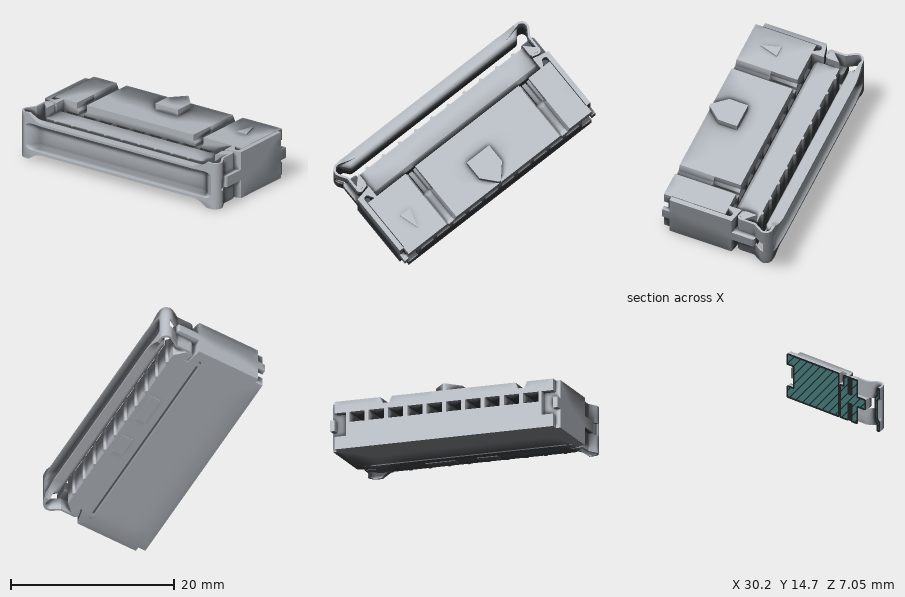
import cadquery as cq
import math


HEIGHT = 6.08
BACK_Y = 14.65
PLATE_FRONT_Y = 6.53
PLATE_HALF_WIDTH = 14.35
ARM_HALF_WIDTH = 14.95
CAVITY_BOTTOM = 1.6
CAVITY_TOP = 4.6
BODY_HALF_WIDTH = 12.88
SLIT_WIDTH = 0.1

TAB_BOTTOM = 2.35
TAB_TOP = 3.75
TAB_FRONT_Y = 2.4
TAB_CORNER_RADIUS = 0.3
NOTCH_Y = 13.65

PIN_COUNT = 10
PITCH = 2.55
RIB_THICKNESS = 0.55
TROUGH_BOTTOM = 3.33
BAR_FRONT_Y = 2.87
BAR_BACK_Y = 6.15
BAR_HEIGHT = 4.75
BAR_CHAMFER = 0.45
RIDGE_BASE = 0.6
RIDGE_TIP = 0.2
RIDGE_DEPTH = 0.25

GROOVE_CENTRES = (-10.15, 7.62)
GROOVE_WIDTH = 1.5
GROOVE_FLOOR_WIDTH = 0.82
GROOVE_DEPTH = 0.8
SLOT_WALL_DEPTH = 0.85
SLOT_SLOPE_DEPTH = 0.3
SLOT_BOTTOM_WIDTH = 0.88
GROOVE_STEP_Y = 10.05
GROOVE_RAMP = 0.5

FOOT_OUTER_Y = 5.38
FOOT_INNER_Y = 4.93
RELIEF_WIDTH = 0.8
RELIEF_CORNER_RADIUS = 0.35
RELIEF_FRONT_Y = 5.68
RELIEF_OPENING_WIDTH = 0.42
RELIEF_OPENING_Y = 6.0

KEY_WIDTH = 3.5
KEY_TIP_WIDTH = 0.25
KEY_FRONT_Y = 10.28
KEY_SHOULDER_Y = 12.82
KEY_TOP = 6.95
MARK_WIDTH = 1.55
MARK_TIP_Y = 12.8
MARK_HEIGHT = 0.18
PAD_SPANS = ((-3.3, -0.63), (2.3, 6.2))
PAD_FRONT_Y = 3.55
PAD_BACK_Y = 4.95
PAD_HEIGHT = 0.1

SHEET = 0.27
STRAP_BOTTOM = 0.05
LEG_X = 14.35
HOOK_Y = 4.95
HOOK_BEND_RADIUS = 0.5
HOOK_TIP_X = 13.0
HOOK_DROP = 0.25
LOOP_RADIUS = 0.95
LOOP_HALF_WIDTH = 15.1
LOOP_Y = 1.15
NECK_ANGLE = 148
WINDOW_BOTTOM = 2.3
WINDOW_TOP = 3.85
WINDOW_FRONT_Y = 1.12
FRONT_FLAT_HALF = 11.28
CHANNEL_HALF_HEIGHT = 2.05
CHANNEL_BACK_Y = 1.65
CHANNEL_BACK_HALF = 13.0
CHANNEL_BEND_RADIUS = 0.57
FLANGE = 0.3
CHANNEL_CORNER_RADIUS = 0.6
POCKET_WALL_X = 13.35
FLARE_TOP_X = 13.6
FLARE_BASE_X = 12.25
FLARE_RADIUS = 2.72

STRAP_MID_Z = (STRAP_BOTTOM + HEIGHT) / 2
LOOP_X = LOOP_HALF_WIDTH - LOOP_RADIUS
LOOP_FRONT_Y = LOOP_Y - LOOP_RADIUS
PIN_XS = [(i - (PIN_COUNT - 1) / 2) * PITCH for i in range(PIN_COUNT)]


def block(x0, x1, y0, y1, z0, z1):
    return cq.Workplane("XY").box(x1 - x0, y1 - y0, z1 - z0, centered=False).translate((x0, y0, z0))


def prism(points, z0, z1):
    return cq.Workplane("XY").workplane(offset=z0).polyline(points).close().extrude(z1 - z0)


def along_y(points, y0, y1):
    """Extrude an XZ outline from y0 to y1."""
    return cq.Workplane("XZ", origin=(0, y0, 0)).polyline(points).close().extrude(y0 - y1)


def both_sides(left):
    return left.union(left.mirror("YZ"))


def make_shell():
    """Rectangular body with one straight trough per contact and a slot in each back corner."""
    shell = block(-PLATE_HALF_WIDTH, PLATE_HALF_WIDTH, PLATE_FRONT_Y, BACK_Y, 0, HEIGHT)
    half = (PITCH - RIB_THICKNESS) / 2
    for x in PIN_XS:
        shell = shell.cut(block(x - half, x + half, PLATE_FRONT_Y, BACK_Y, TROUGH_BOTTOM, CAVITY_TOP))
    slot = block(-PLATE_HALF_WIDTH, -BODY_HALF_WIDTH, NOTCH_Y, BACK_Y, CAVITY_BOTTOM, CAVITY_TOP)
    return shell.cut(both_sides(slot))


def make_groove(x):
    """Shallow tapered groove at the back, opening into a deeper straight-sided slot at the front."""
    half = GROOVE_WIDTH / 2
    floor_half = GROOVE_FLOOR_WIDTH / 2
    floor_z = HEIGHT - GROOVE_DEPTH
    shallow = along_y(
        [(x - half, HEIGHT), (x - floor_half, floor_z), (x + floor_half, floor_z), (x + half, HEIGHT)],
        GROOVE_STEP_Y, BACK_Y,
    )
    slot_half = SLOT_BOTTOM_WIDTH / 2
    wall_z = HEIGHT - SLOT_WALL_DEPTH
    slope_z = wall_z - SLOT_SLOPE_DEPTH
    deep = along_y(
        [
            (x - half, HEIGHT), (x - half, wall_z), (x - slot_half, slope_z), (x - slot_half, CAVITY_TOP),
            (x + slot_half, CAVITY_TOP), (x + slot_half, slope_z), (x + half, wall_z), (x + half, HEIGHT),
        ],
        PLATE_FRONT_Y, GROOVE_STEP_Y,
    )
    ramp = (
        cq.Workplane("YZ", origin=(x - half, 0, 0))
        .polyline([
            (GROOVE_STEP_Y, floor_z), (GROOVE_STEP_Y, CAVITY_TOP), (GROOVE_STEP_Y - GROOVE_RAMP, CAVITY_TOP)
        ])
        .close().extrude(GROOVE_WIDTH)
    )
    return shallow.union(deep.cut(ramp))


def make_arm():
    """Left arm: side wall, foot joining the bar, middle tab and the block inside the strap hook."""
    outer = -ARM_HALF_WIDTH
    inner = -BODY_HALF_WIDTH
    wall_x = -PLATE_HALF_WIDTH
    foot = prism(
        [
            (outer, FOOT_OUTER_Y), (inner, FOOT_INNER_Y), (inner, PLATE_FRONT_Y),
            (wall_x, PLATE_FRONT_Y), (wall_x, NOTCH_Y), (outer, NOTCH_Y),
        ],
        0, HEIGHT,
    )
    back_tab = block(outer, wall_x, NOTCH_Y, BACK_Y, TAB_BOTTOM, TAB_TOP)
    front_tab = (
        block(outer, inner, TAB_FRONT_Y, FOOT_OUTER_Y, TAB_BOTTOM, TAB_TOP)
        .edges("|Z and <Y").fillet(TAB_CORNER_RADIUS)
    )
    leg_inside = -LEG_X + SHEET
    hook_inside = HOOK_Y - SHEET
    hook_block = prism(
        [
            (leg_inside, hook_inside), (inner, hook_inside - HOOK_DROP), (inner, BAR_FRONT_Y),
            (leg_inside, BAR_FRONT_Y + LEG_X - SHEET - BODY_HALF_WIDTH),
        ],
        0, HEIGHT,
    )
    return foot.union(back_tab).union(front_tab).union(hook_block)


def make_relief():
    """Left relief in front of the plate: a round-ended pocket, a through opening and the side slit."""
    x0 = -PLATE_HALF_WIDTH
    x1 = x0 + RELIEF_WIDTH
    pocket = (
        block(x0, x1, RELIEF_FRONT_Y, PLATE_FRONT_Y, CAVITY_TOP, HEIGHT)
        .edges("|Z and <Y").fillet(RELIEF_CORNER_RADIUS)
    )
    opening = prism(
        [
            (x1 - SLIT_WIDTH, PLATE_FRONT_Y), (x1, RELIEF_OPENING_Y),
            (x1 - SLIT_WIDTH + RELIEF_OPENING_WIDTH, PLATE_FRONT_Y),
        ],
        0, HEIGHT,
    )
    slit = block(x0, x0 + SLIT_WIDTH, PLATE_FRONT_Y, NOTCH_Y, CAVITY_TOP, HEIGHT)
    return pocket.union(opening).union(slit)


def make_bar():
    """Cross bar between the feet, with one ridge per contact and two low pads underneath."""
    bar = (
        block(-BODY_HALF_WIDTH, BODY_HALF_WIDTH, BAR_FRONT_Y, BAR_BACK_Y, 0, BAR_HEIGHT)
        .edges(">Y and >Z").chamfer(BAR_CHAMFER)
    )
    tip_y = BAR_FRONT_Y - RIDGE_DEPTH
    for x in PIN_XS:
        ridge = prism(
            [
                (x - RIDGE_BASE / 2, BAR_FRONT_Y), (x - RIDGE_TIP / 2, tip_y),
                (x + RIDGE_TIP / 2, tip_y), (x + RIDGE_BASE / 2, BAR_FRONT_Y),
            ],
            0, BAR_HEIGHT,
        )
        bar = bar.union(ridge)
    for x0, x1 in PAD_SPANS:
        bar = bar.union(block(x0, x1, PAD_FRONT_Y, PAD_BACK_Y, -PAD_HEIGHT, 0))
    return bar


def make_key():
    """Raised house-shaped key, its slanted flanks ending at the back face."""
    half = KEY_WIDTH / 2
    tip_half = KEY_TIP_WIDTH / 2
    return prism(
        [
            (-half, KEY_FRONT_Y), (half, KEY_FRONT_Y), (half, KEY_SHOULDER_Y),
            (tip_half, BACK_Y), (-tip_half, BACK_Y), (-half, KEY_SHOULDER_Y),
        ],
        HEIGHT, KEY_TOP,
    )


def make_mark():
    """Low triangle over the last contact."""
    x = PIN_XS[-1]
    return prism(
        [(x - MARK_WIDTH / 2, KEY_FRONT_Y), (x + MARK_WIDTH / 2, KEY_FRONT_Y), (x, MARK_TIP_Y)],
        HEIGHT, HEIGHT + MARK_HEIGHT,
    )


def loop_point(radius, degrees):
    angle = math.radians(degrees)
    return (-LOOP_X + radius * math.cos(angle), LOOP_Y + radius * math.sin(angle))


def neck_top(radius, x):
    """Where the neck, leaving the loop as a tangent, reaches the given X."""
    start_x, start_y = loop_point(radius, NECK_ANGLE)
    return (x, start_y + (x - start_x) * math.tan(math.radians(NECK_ANGLE - 90)))


def make_strap_side():
    """Left end of the strap: hook, leg, neck, loop and a wedge that thickens into the channel."""
    inner_radius = LOOP_RADIUS - SHEET
    leg_inside = -LEG_X + SHEET
    inner_bend = HOOK_BEND_RADIUS - SHEET
    bend_x = -LEG_X + HOOK_BEND_RADIUS
    bend_y = HOOK_Y - HOOK_BEND_RADIUS
    diagonal = math.sqrt(0.5)
    mid_angle = (NECK_ANGLE + 270) / 2
    side = (
        cq.Workplane("XY").workplane(offset=STRAP_BOTTOM)
        .moveTo(-HOOK_TIP_X, HOOK_Y - HOOK_DROP)
        .lineTo(bend_x, HOOK_Y)
        .threePointArc(
            (bend_x - HOOK_BEND_RADIUS * diagonal, bend_y + HOOK_BEND_RADIUS * diagonal), (-LEG_X, bend_y)
        )
        .lineTo(*neck_top(LOOP_RADIUS, -LEG_X))
        .lineTo(*loop_point(LOOP_RADIUS, NECK_ANGLE))
        .threePointArc(loop_point(LOOP_RADIUS, mid_angle), loop_point(LOOP_RADIUS, 270))
        .lineTo(-FRONT_FLAT_HALF, 0)
        .lineTo(-FRONT_FLAT_HALF, CHANNEL_BACK_Y - CHANNEL_BEND_RADIUS)
        .lineTo(*loop_point(inner_radius, 270))
        .threePointArc(loop_point(inner_radius, mid_angle), loop_point(inner_radius, NECK_ANGLE))
        .lineTo(*neck_top(inner_radius, leg_inside))
        .lineTo(leg_inside, bend_y)
        .threePointArc(
            (bend_x - inner_bend * diagonal, bend_y + inner_bend * diagonal), (bend_x, HOOK_Y - SHEET)
        )
        .lineTo(-HOOK_TIP_X, HOOK_Y - HOOK_DROP - SHEET)
        .close().extrude(HEIGHT - STRAP_BOTTOM)
    )
    window = block(
        -LOOP_HALF_WIDTH, -BODY_HALF_WIDTH, WINDOW_FRONT_Y, HOOK_Y, WINDOW_BOTTOM, WINDOW_TOP
    )
    return side.cut(window)


def make_flare_cut():
    """Space above the strap front, dropping from full height to the channel in a rounded sweep."""
    base_z = STRAP_MID_Z + CHANNEL_HALF_HEIGHT
    cut = along_y(
        [(-FLARE_TOP_X, HEIGHT), (-FLARE_BASE_X, base_z), (FLARE_BASE_X, base_z), (FLARE_TOP_X, HEIGHT)],
        0, CHANNEL_BACK_Y,
    )
    return cut.edges("|Y and <Z").fillet(FLARE_RADIUS)


def make_pocket_half():
    """Left half of the hollow in the channel: rounded floor edges and a slanted end that rolls outward."""
    floor_half = CHANNEL_BACK_HALF - FLANGE
    floor_y = CHANNEL_BACK_Y - SHEET
    wall_y = floor_y - (POCKET_WALL_X - floor_half)
    clear_y = -CHANNEL_BEND_RADIUS
    return (
        cq.Workplane("XY").workplane(offset=STRAP_MID_Z - CHANNEL_HALF_HEIGHT + FLANGE)
        .moveTo(0, clear_y)
        .lineTo(0, floor_y)
        .lineTo(-floor_half, floor_y)
        .lineTo(-POCKET_WALL_X, wall_y)
        .tangentArcPoint((-LOOP_X, LOOP_FRONT_Y), relative=False)
        .lineTo(-LOOP_X, clear_y)
        .close().extrude(2 * (CHANNEL_HALF_HEIGHT - FLANGE))
        .edges(cq.selectors.NearestToPointSelector((-floor_half, floor_y, STRAP_MID_Z)))
        .fillet(CHANNEL_CORNER_RADIUS)
        .edges("|X and >Y").fillet(CHANNEL_BEND_RADIUS)
    )


def make_strap():
    """Bent sheet strap whose front is a channel open to the front with slanted ends."""
    channel = prism(
        [
            (-FRONT_FLAT_HALF, 0), (FRONT_FLAT_HALF, 0), (LOOP_X, LOOP_FRONT_Y),
            (CHANNEL_BACK_HALF, CHANNEL_BACK_Y), (-CHANNEL_BACK_HALF, CHANNEL_BACK_Y),
            (-LOOP_X, LOOP_FRONT_Y),
        ],
        STRAP_MID_Z - CHANNEL_HALF_HEIGHT, STRAP_MID_Z + CHANNEL_HALF_HEIGHT,
    ).edges("|Z and >Y").fillet(CHANNEL_CORNER_RADIUS).edges("|X and >Y").fillet(CHANNEL_BEND_RADIUS)
    upper_cut = make_flare_cut()
    lower_cut = upper_cut.mirror("XY", (0, 0, STRAP_MID_Z))
    ends = both_sides(make_strap_side()).cut(upper_cut).cut(lower_cut)
    return ends.union(channel).cut(both_sides(make_pocket_half()))


housing = make_shell().union(both_sides(make_arm()))
for groove_x in GROOVE_CENTRES:
    housing = housing.cut(make_groove(groove_x))
housing = housing.cut(both_sides(make_relief()))
result = housing.union(make_bar()).union(make_key()).union(make_mark()).union(make_strap())